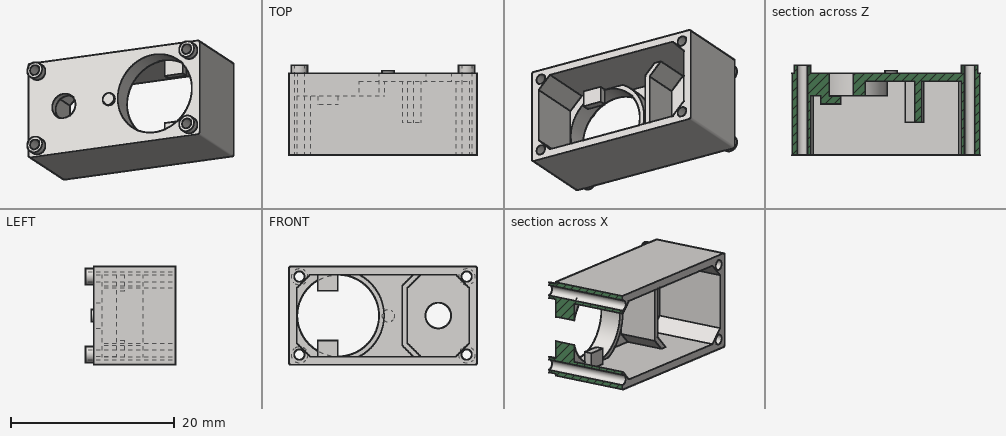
import cadquery as cq
import math

length = 23.0
height = 12.0
depth = 10.0
edge_radius = 0.25
wall = 1.0
corner_leg = 1.63
back_inner = depth - wall
cavity_left = -length / 2 + wall
cavity_right = length / 2 - wall
cavity_top = height / 2 - wall

post_length = 1.0
post_diameter = 2.0
screw_hole_diameter = 1.25
screw_x = length / 2 - 1.29
screw_z = height / 2 - 1.25

pin_diameter = 1.52
pin_length = 0.3
pin_x = 0.62

bore_x = -5.47
bore_diameter = 9.95
collar_diameter = 11.22
collar_front = 7.22

tab_left = -7.98
tab_width = 2.45
tab_reach = 2.0
tab_thickness = 1.0

partition_front = 4.0
partition_thickness = 0.65
chamber_left = 3.0
chamber_x = (chamber_left + cavity_right) / 2
chamber_hole_diameter = 3.1


def block(left, right, bottom, top, front, back):
    """Box given by its limits along X, Z and Y."""
    size = (right - left, back - front, top - bottom)
    return cq.Workplane("XY").box(*size, centered=False).translate((left, front, bottom))


def cylinder(x, z, diameter, front, back):
    """Round bar along Y."""
    base = cq.Solid.makeCylinder(diameter / 2, back - front, cq.Vector(x, front, z), cq.Vector(0, 1, 0))
    return cq.Workplane(base)


def cut_corner_block(left, right, leg, front, back):
    """Block of cavity height with its four long edges chamfered."""
    return block(left, right, -cavity_top, cavity_top, front, back).edges("|Y").chamfer(leg)


def make_shell():
    outside = block(-length / 2, length / 2, -height / 2, height / 2, 0, depth)
    outside = outside.edges("|Y").fillet(edge_radius)
    return outside.cut(cut_corner_block(cavity_left, cavity_right, corner_leg, 0, back_inner))


def make_partition():
    """Wall of even thickness that follows the left side of an octagonal chamber."""
    outer_left = chamber_left - partition_thickness
    outer_leg = corner_leg + partition_thickness * (1 - math.sqrt(2))
    outer = cut_corner_block(outer_left, cavity_right, outer_leg, partition_front, back_inner)
    inner = cut_corner_block(chamber_left, cavity_right, corner_leg, partition_front, back_inner)
    return outer.cut(inner)


def make_collar():
    """Pad that fills the left end of the cavity and is rounded on its right side."""
    rounded = cylinder(bore_x, 0, collar_diameter, collar_front, back_inner)
    cavity = block(cavity_left, cavity_right, -cavity_top, cavity_top, collar_front, back_inner)
    left_fill = block(cavity_left, bore_x, -cavity_top, cavity_top, collar_front, back_inner)
    return rounded.intersect(cavity).union(left_fill)


def make_tab(side):
    """Tab reaching inwards from the upper (side = 1) or lower (side = -1) wall."""
    middle = side * (cavity_top - tab_reach / 2)
    bottom = middle - tab_reach / 2
    top = middle + tab_reach / 2
    return block(tab_left, tab_left + tab_width, bottom, top, collar_front - tab_thickness, collar_front)


screw_places = [(sx * screw_x, sz * screw_z) for sx in (-1, 1) for sz in (-1, 1)]

result = make_shell().union(make_partition()).union(make_collar())
result = result.cut(cylinder(bore_x, 0, bore_diameter, collar_front, depth))
result = result.cut(cylinder(chamber_x, 0, chamber_hole_diameter, back_inner, depth))

for side in (-1, 1):
    result = result.union(make_tab(side))

result = result.union(cylinder(pin_x, 0, pin_diameter, depth, depth + pin_length))

for x, z in screw_places:
    result = result.union(cylinder(x, z, post_diameter, depth, depth + post_length))
    result = result.cut(cylinder(x, z, screw_hole_diameter, 0, depth + post_length))